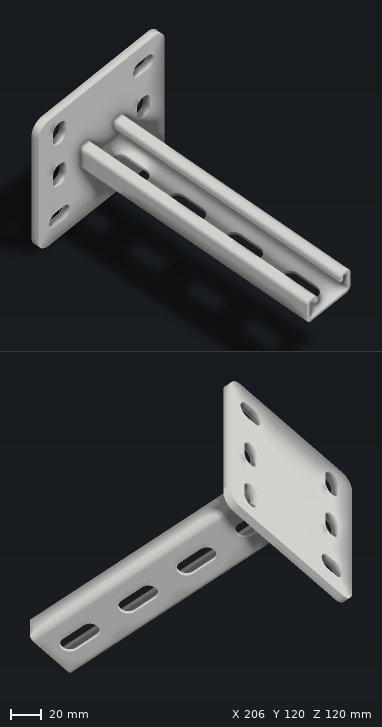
import cadquery as cq

total_length = 206.0

plate_side = 120.0
plate_thickness = 6.0
plate_corner_radius = 10.0
plate_slot_length = 20.0
plate_slot_width = 12.5
plate_slot_spacing = 40.0

channel_length = total_length - plate_thickness
channel_width = 41.2
channel_height = 21.0
channel_rise = 0.5
wall = 2.5
bend_radius = 3.7
lip_width = 9.7
lip_depth = 6.5
channel_slot_length = 30.0
channel_slot_width = 12.8
channel_slot_count = 4
channel_slot_pitch = channel_length / channel_slot_count

LYING = 0
UPRIGHT = 90
plate_slots = [
    (1, 1, LYING),
    (1, 0, UPRIGHT),
    (1, -1, UPRIGHT),
    (-1, 1, UPRIGHT),
    (-1, 0, UPRIGHT),
    (-1, -1, LYING),
]


def make_plate():
    """Square plate with rounded corners and six slots, its front face at X = 0."""
    plate = (
        cq.Workplane("YZ")
        .rect(plate_side, plate_side)
        .extrude(plate_thickness)
        .edges("|X")
        .fillet(plate_corner_radius)
    )
    for column, row, angle in plate_slots:
        slot = (
            cq.Workplane("YZ")
            .center(column * plate_slot_spacing, row * plate_slot_spacing)
            .slot2D(plate_slot_length, plate_slot_width, angle)
            .extrude(plate_thickness)
        )
        plate = plate.cut(slot)
    return plate


def channel_bar(width, height, corner_radius):
    """Bar with rounded long edges, as long as the channel and centred on the X axis."""
    return (
        cq.Workplane("YZ", origin=(plate_thickness, 0, 0))
        .rect(width, height)
        .extrude(channel_length)
        .edges("|X")
        .fillet(corner_radius)
    )


def channel_tube(width):
    """Closed tube of the channel's height and wall, from which its bends are taken."""
    outside = channel_bar(width, channel_height, bend_radius)
    inside = channel_bar(width - 2 * wall, channel_height - 2 * wall, bend_radius - wall)
    return outside.cut(inside)


def upper_band(width, depth):
    """Block along the channel that reaches down by a depth from the top of the lips."""
    return (
        cq.Workplane("XY", origin=(plate_thickness, 0, channel_height / 2 - depth))
        .rect(channel_length, width)
        .extrude(depth)
        .translate((channel_length / 2, 0, 0))
    )


def make_channel():
    """Channel that butts against the plate, with hooked lips and slots in its floor."""
    channel = channel_tube(channel_width).cut(upper_band(channel_width - lip_width, wall))

    lip = channel_tube(lip_width).intersect(upper_band(lip_width, lip_depth))
    lip_offset = (channel_width - lip_width) / 2
    for side in (-1, 1):
        channel = channel.union(lip.translate((0, side * lip_offset, 0)))
    channel = channel.clean()

    for index in range(channel_slot_count):
        slot_x = plate_thickness + (index + 0.5) * channel_slot_pitch
        slot = (
            cq.Workplane("XY", origin=(slot_x, 0, -channel_height / 2))
            .slot2D(channel_slot_length, channel_slot_width)
            .extrude(wall)
        )
        channel = channel.cut(slot)
    return channel.translate((0, 0, channel_rise))


plate = make_plate()
channel = make_channel()
result = cq.Compound.makeCompound([plate.val(), channel.val()])